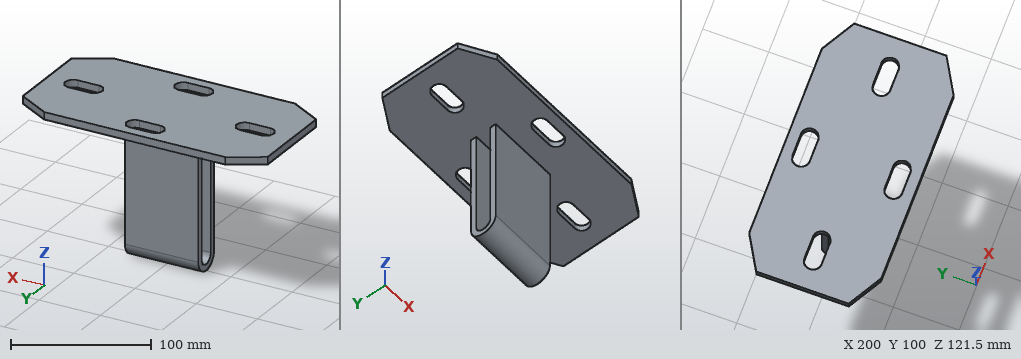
import cadquery as cq

plate_length = 200.0
plate_width = 100.0
plate_thickness = 6.0
corner_cut_x = 26.0
corner_cut_y = 15.0

slot_length = 30.0
slot_width = 13.0
end_slot_offset = 70.0
side_slot_offset = 35.0

strap_width = 60.0
strap_thickness = 5.0
strap_gap = 13.0
strap_leg_length = 104.0
strap_inner_radius = strap_gap / 2
strap_outer_radius = strap_inner_radius + strap_thickness


def make_plate():
    """Rectangular plate with four cut corners and four through slots."""
    half_x = plate_length / 2
    half_y = plate_width / 2
    flat_x = half_x - corner_cut_x
    flat_y = half_y - corner_cut_y
    outline = [
        (-flat_x, -half_y),
        (flat_x, -half_y),
        (half_x, -flat_y),
        (half_x, flat_y),
        (flat_x, half_y),
        (-flat_x, half_y),
        (-half_x, flat_y),
        (-half_x, -flat_y),
    ]
    slot_centers = [
        (-end_slot_offset, 0),
        (end_slot_offset, 0),
        (0, -side_slot_offset),
        (0, side_slot_offset),
    ]
    blank = cq.Workplane("XY").polyline(outline).close().extrude(plate_thickness)
    slots = (
        cq.Workplane("XY")
        .pushPoints(slot_centers)
        .slot2D(slot_length, slot_width)
        .extrude(plate_thickness)
    )
    return blank.cut(slots)


def make_strap():
    """Flat strap bent into a U, its leg ends against the plate underside."""
    bend_z = -strap_leg_length
    return (
        cq.Workplane("YZ")
        .moveTo(-strap_outer_radius, 0)
        .lineTo(-strap_outer_radius, bend_z)
        .threePointArc((0, bend_z - strap_outer_radius), (strap_outer_radius, bend_z))
        .lineTo(strap_outer_radius, 0)
        .lineTo(strap_inner_radius, 0)
        .lineTo(strap_inner_radius, bend_z)
        .threePointArc((0, bend_z - strap_inner_radius), (-strap_inner_radius, bend_z))
        .lineTo(-strap_inner_radius, 0)
        .close()
        .extrude(strap_width / 2, both=True)
    )


plate = make_plate()
strap = make_strap()
result = cq.Compound.makeCompound([plate.val(), strap.val()])